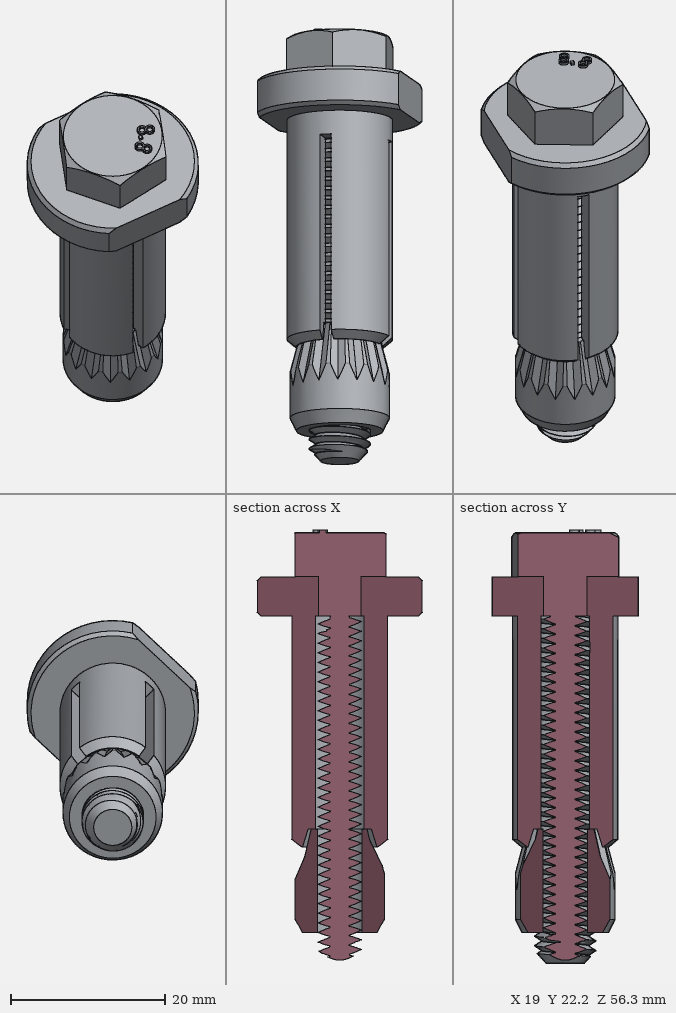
import cadquery as cq
import math

TOTAL_HEIGHT = 56.25
MARK_HEIGHT = 0.35
HEAD_TOP = TOTAL_HEIGHT - MARK_HEIGHT
FLANGE_TOP = 50.2
FLANGE_BOTTOM = 45.05
SLOT_TOP = 41.95
SLEEVE_BOTTOM = 15.1
CONE_TOP = 17.45
CONE_SHOULDER = 11.7
CONE_BOTTOM = 4.0

HEAD_ACROSS_FLATS = 13.0
HEAD_TURN = 38.4
HEAD_CHAMFER_ANGLE = 30.0
HEAD_CHAMFER_RADIUS = 6.4
HEAD_CORNER_RADIUS = HEAD_ACROSS_FLATS / 2 / math.cos(math.radians(30))
THREAD_RADIUS = 4.0
THREAD_ROOT_RADIUS = 3.1
THREAD_TURNS = 36
THREAD_PITCH = FLANGE_BOTTOM / THREAD_TURNS
THREAD_CREST = 0.035
THREAD_ROOT_FLAT = 0.05
THREAD_OVERLAP = 0.03
THREAD_LEAD_IN = 0.85
TIP_RADIUS = 2.5
TIP_CHAMFER_HEIGHT = 1.7

FIGURE_PLACES = [(1.35, 4.15, 66.0), (3.65, 2.55, 40.0)]
RING_RADIUS = 0.6
RING_STROKE = 0.2
RING_OFFSET = RING_RADIUS - RING_STROKE / 2
MARK_DOT_PLACE = (2.1, 3.0)
MARK_DOT_SIZE = 0.45

FLANGE_RADIUS = 22.2 / 2
FLANGE_WIDTH = 19.0
FLANGE_CHAMFER = 0.5
SLEEVE_RADIUS = 6.85
SLEEVE_BORE_RADIUS = 4.2
SLEEVE_END_RADIUS = 5.7
SLEEVE_END_CHAMFER_HEIGHT = 1.0
SLOT_WIDTH = 1.5
SLOT_COUNT = 4

CONE_RADIUS = 6.45
CONE_TOP_RADIUS = 4.95
CONE_BOTTOM_RADIUS = 5.6
THREAD_CLEARANCE = 0.03
CONE_CHAMFER_HEIGHT = 1.7
GROOVE_COUNT = 16
GROOVE_START = 9.55
GROOVE_TURN = 13.4
GROOVE_SLOPE = 14.3
GROOVE_ANGLE = 130.0
GROOVE_CUTTER_DEPTH = 1.7
GROOVE_CUTTER_LENGTH = 11.25


def revolve_profile(points):
    """Solid of revolution about Z from (radius, height) points."""
    return cq.Workplane("XZ").polyline(points).close().revolve(360, (0, 0), (0, 1))


def cylinder(radius, bottom, top):
    return cq.Workplane("XY").workplane(offset=bottom).circle(radius).extrude(top - bottom)


def hex_head():
    corner_drop = (HEAD_CORNER_RADIUS - HEAD_CHAMFER_RADIUS) * math.tan(math.radians(HEAD_CHAMFER_ANGLE))
    hexagon = (
        cq.Workplane("XY")
        .workplane(offset=FLANGE_TOP)
        .polygon(6, 2 * HEAD_CORNER_RADIUS)
        .extrude(HEAD_TOP - FLANGE_TOP)
        .rotate((0, 0, 0), (0, 0, 1), HEAD_TURN)
    )
    envelope = revolve_profile([
        (0, FLANGE_TOP),
        (HEAD_CORNER_RADIUS, FLANGE_TOP),
        (HEAD_CORNER_RADIUS, HEAD_TOP - corner_drop),
        (HEAD_CHAMFER_RADIUS, HEAD_TOP),
        (0, HEAD_TOP),
    ])
    return hexagon.intersect(envelope)


def grade_mark():
    plane = cq.Workplane("XY").workplane(offset=HEAD_TOP)
    mark = plane.center(*MARK_DOT_PLACE).rect(MARK_DOT_SIZE, MARK_DOT_SIZE).extrude(MARK_HEIGHT)
    for x, y, direction in FIGURE_PLACES:
        step_x = RING_OFFSET * math.cos(math.radians(direction))
        step_y = RING_OFFSET * math.sin(math.radians(direction))
        for side in (-1, 1):
            ring = (
                plane.center(x + side * step_x, y + side * step_y)
                .circle(RING_RADIUS)
                .circle(RING_RADIUS - RING_STROKE)
                .extrude(MARK_HEIGHT)
            )
            mark = mark.union(ring)
    return mark


def threaded_shank():
    """Core with one left-handed helical ridge, pointed by the tip chamfer."""
    start = -THREAD_LEAD_IN
    helix = cq.Wire.makeHelix(THREAD_PITCH, FLANGE_BOTTOM - start, THREAD_ROOT_RADIUS, lefthand=True)
    base = THREAD_PITCH - THREAD_ROOT_FLAT
    flank_growth = (base - THREAD_CREST) / (THREAD_RADIUS - THREAD_ROOT_RADIUS)
    sunk_half = (base + flank_growth * THREAD_OVERLAP) / 2
    ridge = (
        cq.Workplane("XZ")
        .polyline([
            (THREAD_ROOT_RADIUS - THREAD_OVERLAP, -sunk_half),
            (THREAD_RADIUS, -THREAD_CREST / 2),
            (THREAD_RADIUS, THREAD_CREST / 2),
            (THREAD_ROOT_RADIUS - THREAD_OVERLAP, sunk_half),
        ])
        .close()
        .sweep(cq.Workplane(helix), isFrenet=True)
        .translate((0, 0, start))
    )
    core = cylinder(THREAD_ROOT_RADIUS, 2 * start, FLANGE_BOTTOM + THREAD_PITCH)
    envelope_radius = THREAD_RADIUS + THREAD_CLEARANCE
    envelope = revolve_profile([
        (0, 0),
        (TIP_RADIUS, 0),
        (envelope_radius, TIP_CHAMFER_HEIGHT),
        (envelope_radius, FLANGE_BOTTOM),
        (0, FLANGE_BOTTOM),
    ])
    return core.union(ridge).intersect(envelope)


def make_bolt():
    """Head, plain shank through the flange, thread and grade mark as one solid."""
    plain_shank = cylinder(THREAD_RADIUS, FLANGE_BOTTOM, FLANGE_TOP)
    return hex_head().union(plain_shank).union(threaded_shank()).union(grade_mark())


def cone_outline():
    """Revolved shape of the cone nut before its grooves and hole are cut."""
    return revolve_profile([
        (0, CONE_BOTTOM),
        (CONE_BOTTOM_RADIUS, CONE_BOTTOM),
        (CONE_RADIUS, CONE_BOTTOM + CONE_CHAMFER_HEIGHT),
        (CONE_RADIUS, CONE_SHOULDER),
        (CONE_TOP_RADIUS, CONE_TOP),
        (0, CONE_TOP),
    ])


def groove_cutter():
    """V prism on the +X side, its bottom edge leaning towards the axis."""
    half_width = GROOVE_CUTTER_DEPTH * math.tan(math.radians(GROOVE_ANGLE / 2))
    return (
        cq.Workplane("XY")
        .polyline([(0, 0), (GROOVE_CUTTER_DEPTH, half_width), (GROOVE_CUTTER_DEPTH, -half_width)])
        .close()
        .extrude(GROOVE_CUTTER_LENGTH)
        .rotate((0, 0, 0), (0, 1, 0), -GROOVE_SLOPE)
        .translate((CONE_RADIUS, 0, GROOVE_START))
    )


def make_cone_nut():
    nut = cone_outline().cut(cylinder(THREAD_RADIUS + THREAD_CLEARANCE, CONE_BOTTOM, CONE_TOP))
    cutter = groove_cutter()
    for index in range(GROOVE_COUNT):
        turn = GROOVE_TURN + index * 360 / GROOVE_COUNT
        nut = nut.cut(cutter.rotate((0, 0, 0), (0, 0, 1), turn))
    return nut


def make_sleeve():
    flange = revolve_profile([
        (0, FLANGE_BOTTOM),
        (FLANGE_RADIUS - FLANGE_CHAMFER, FLANGE_BOTTOM),
        (FLANGE_RADIUS, FLANGE_BOTTOM + FLANGE_CHAMFER),
        (FLANGE_RADIUS, FLANGE_TOP - FLANGE_CHAMFER),
        (FLANGE_RADIUS - FLANGE_CHAMFER, FLANGE_TOP),
        (0, FLANGE_TOP),
    ])
    between_flats = cq.Workplane("XY").box(FLANGE_WIDTH, 2 * FLANGE_RADIUS, 2 * FLANGE_TOP)
    tube = revolve_profile([
        (0, SLEEVE_BOTTOM),
        (SLEEVE_END_RADIUS, SLEEVE_BOTTOM),
        (SLEEVE_RADIUS, SLEEVE_BOTTOM + SLEEVE_END_CHAMFER_HEIGHT),
        (SLEEVE_RADIUS, FLANGE_BOTTOM),
        (0, FLANGE_BOTTOM),
    ])
    sleeve = flange.intersect(between_flats).union(tube)
    sleeve = sleeve.cut(cylinder(SLEEVE_BORE_RADIUS, SLEEVE_BOTTOM, FLANGE_BOTTOM))
    sleeve = sleeve.cut(cylinder(THREAD_RADIUS, FLANGE_BOTTOM, FLANGE_TOP))
    sleeve = sleeve.cut(cone_outline())
    slot = (
        cq.Workplane("XY")
        .workplane(offset=SLEEVE_BOTTOM)
        .center(SLEEVE_RADIUS, 0)
        .rect(2 * SLEEVE_RADIUS, SLOT_WIDTH)
        .extrude(SLOT_TOP - SLEEVE_BOTTOM)
    )
    for index in range(SLOT_COUNT):
        sleeve = sleeve.cut(slot.rotate((0, 0, 0), (0, 0, 1), index * 360 / SLOT_COUNT))
    return sleeve


bolt = make_bolt()
sleeve = make_sleeve()
cone_nut = make_cone_nut()
result = cq.Compound.makeCompound([bolt.solids().val(), sleeve.solids().val(), cone_nut.solids().val()])